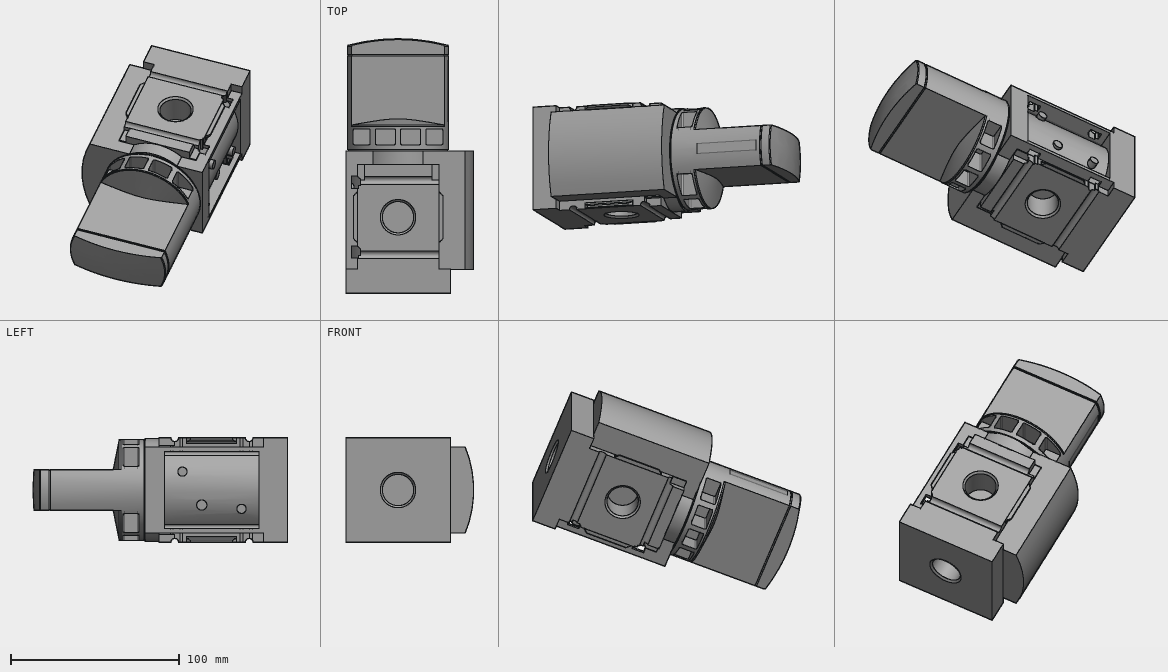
import cadquery as cq
import math


total_length = 150.9
total_width = 75.8
body_size = 62.0
half_body = body_size / 2
working_axis_x = -0.2
front_block_length = 14.3
slab_end = 76.2
slab_half_width = 24.22
housing_end = 84.4
core_half_height = 25.5
collar_height = 30.6
collar_half_chord = 15.0

cover_start = 14.0
cover_edge_x = 39.7
cover_crown_x = total_width - half_body

port_diameter = 18.5
port_mouth_diameter = 21.0
port_depth = 18.1
top_port_y = 45.1

groove_radius = 2.3
groove_positions = (22.8, 66.8)
corner_cut_start = 67.2
corner_cut_width = 4.2
corner_cut_floor = 26.3
slot_outer_x = 27.6
slot_step_x = 23.7
slot_inner_x = 22.5
slot_mouth_width = 7.2
slot_tip_width = 3.9
slot_positions = (24.5, 65.8)
slot_floor = 21.9

catch_length = 29.6
catch_tip_length = 25.0
catch_top = 30.8
catch_pad_bottom = 27.5
catch_bottom = 28.5
catch_tip_bottom = 29.7
catch_pad_thickness = 0.3
catch_reach = 2.4

window_start = 16.9
window_end = 72.9
window_half_height = 23.0
bowl_radius = 29.5
bowl_edge_height = 20.5
seam_groove_radius = (window_half_height - bowl_edge_height) / 2
pin_diameter = 5.5
pin_tip_x = -30.5
pin_positions = ((62.3, 10.9), (27.3, -11.2))
disc_diameter = 6.0
disc_position = (50.9, -8.9)
disc_face_x = -28.8

knob_diameter = 60.0
knob_radius = knob_diameter / 2
neck_length = 0.8
neck_depth = 0.6
knob_rim_y = 99.7
shoulder_y = 98.8
rim_step = 0.2
tang_half_thickness = 12.0
cone_rise = 3.6
dome_edge_y = 147.0
tang_rim_y = 146.4
dome_inset = 0.5
seam_start = 140.5
seam_width = 0.9
seam_depth = 0.3
pocket_start = 88.0
pocket_end = 97.5
pocket_floor = tang_half_thickness
pocket_spans = ((1.5, 13.5), (16.5, 26.5))
pocket_corner_radius = 0.9
panel_start = 101.5
panel_end = 138.2
panel_half_height = 9.0
panel_depth = 0.2


def box(x_range, y_range, z_range):
    """Axis-aligned box between the given limits."""
    size = [high - low for low, high in (x_range, y_range, z_range)]
    corner = (x_range[0], y_range[0], z_range[0])
    return cq.Workplane("XY").box(*size, centered=False).translate(corner)


def cylinder_along_y(radius, start, end, x=0.0, z=0.0):
    """Cylinder parallel to Y."""
    return cq.Workplane("XZ", origin=(x, start, z)).circle(radius).extrude(start - end)


def with_mirror(shape, plane):
    """The shape together with its mirror image."""
    return shape.union(shape.mirror(plane))


def make_cover():
    """Core of the housing, running out to the crowned gauge cover."""
    return (
        cq.Workplane("XZ", origin=(0, cover_start, 0))
        .moveTo(-half_body, -core_half_height)
        .lineTo(cover_edge_x, -core_half_height)
        .threePointArc((cover_crown_x, 0), (cover_edge_x, core_half_height))
        .lineTo(-half_body, core_half_height)
        .close()
        .extrude(cover_start - housing_end)
    )


def make_collar():
    """Rounded collar standing above and below the core, behind the slab."""
    return (
        cq.Workplane("XZ", origin=(working_axis_x, slab_end, 0))
        .moveTo(-collar_half_chord, core_half_height)
        .threePointArc((0, collar_height), (collar_half_chord, core_half_height))
        .lineTo(collar_half_chord, -core_half_height)
        .threePointArc((0, -collar_height), (-collar_half_chord, -core_half_height))
        .close()
        .extrude(slab_end - housing_end)
    )


def make_catches():
    """Wedge-shaped catches near the upper and lower edges of both slab sides."""
    pad_x = slab_half_width + catch_pad_thickness
    pad = box(
        (slab_half_width, pad_x),
        (top_port_y - catch_length / 2, top_port_y + catch_length / 2),
        (catch_pad_bottom, catch_top),
    )
    base_height = catch_top - catch_bottom
    tip_height = catch_top - catch_tip_bottom
    wedge = (
        cq.Workplane("YZ", origin=(pad_x, top_port_y, catch_top - base_height / 2))
        .rect(catch_length, base_height)
        .workplane(offset=catch_reach - catch_pad_thickness)
        .center(0, (base_height - tip_height) / 2)
        .rect(catch_tip_length, tip_height)
        .loft(ruled=True)
    )
    return with_mirror(with_mirror(pad.union(wedge), "YZ"), "XY")


def make_slab_cuts():
    """Cross grooves, corner cuts and side slots in the upper and lower slab faces."""
    corner = box(
        (slab_half_width - corner_cut_width, slab_half_width),
        (corner_cut_start, slab_end),
        (corner_cut_floor, half_body),
    )
    cuts = with_mirror(corner, "YZ")
    for y in groove_positions:
        groove = (
            cq.Workplane("YZ", origin=(-slab_half_width, y, half_body))
            .circle(groove_radius)
            .extrude(2 * slab_half_width)
        )
        cuts = cuts.union(groove)
    mouth = slot_mouth_width / 2
    tip = slot_tip_width / 2
    slot_outline = [
        (-slot_outer_x, -mouth),
        (-slot_step_x, -mouth),
        (-slot_step_x, -tip),
        (-slot_inner_x, -tip),
        (-slot_inner_x, tip),
        (-slab_half_width, mouth),
        (-slot_outer_x, mouth),
    ]
    for y in slot_positions:
        slot = (
            cq.Workplane("XY", origin=(0, y, slot_floor))
            .polyline(slot_outline)
            .close()
            .extrude(half_body - slot_floor)
        )
        cuts = cuts.union(slot)
    return with_mirror(cuts, "XY")


def make_port(plane, origin):
    """Blind port with a 45 degree countersunk mouth, going in against the plane's normal."""
    mouth_depth = (port_mouth_diameter - port_diameter) / 2
    bore = cq.Workplane(plane, origin=origin).circle(port_diameter / 2).extrude(-port_depth)
    mouth = (
        cq.Workplane(plane, origin=origin)
        .circle(port_mouth_diameter / 2)
        .workplane(offset=-mouth_depth)
        .circle(port_diameter / 2)
        .loft()
    )
    return bore.union(mouth)


def make_window():
    """Window pocket whose back is the convex bowl, with a round groove along each bowl edge."""
    window_back_x = -math.sqrt(bowl_radius**2 - bowl_edge_height**2)
    window = box(
        (-half_body, window_back_x),
        (window_start, window_end),
        (-window_half_height, window_half_height),
    )
    window = window.cut(cylinder_along_y(bowl_radius, window_start, window_end))
    groove_z = window_half_height - seam_groove_radius
    groove = cylinder_along_y(seam_groove_radius, window_start, window_end, window_back_x, groove_z)
    return window.union(with_mirror(groove, "XY"))


def make_stud(diameter, tip_x, position):
    """Round stud along X standing on the bowl."""
    y, z = position
    return cq.Workplane("YZ", origin=(tip_x, y, z)).circle(diameter / 2).extrude(bowl_radius / 2)


def make_knob():
    """Turning knob: pocketed ring, conical shoulder and a flat tang with a domed end."""
    ring = (
        cq.Workplane("XY")
        .moveTo(0, housing_end)
        .lineTo(knob_radius - neck_depth, housing_end)
        .lineTo(knob_radius - neck_depth, housing_end + neck_length)
        .lineTo(knob_radius, housing_end + neck_length)
        .lineTo(knob_radius, shoulder_y)
        .lineTo(knob_radius - rim_step, shoulder_y)
        .lineTo(knob_radius - rim_step, knob_rim_y)
        .lineTo(tang_half_thickness, knob_rim_y + cone_rise)
        .lineTo(0, knob_rim_y + cone_rise)
        .close()
        .revolve(360, (0, 0, 0), (0, 1, 0))
    )
    dome_rise = total_length - dome_edge_y
    dome_edge_radius = knob_radius - dome_inset
    dome_radius = (dome_edge_radius**2 + dome_rise**2) / (2 * dome_rise)
    dome_centre_y = total_length - dome_radius
    half_dome_angle = math.asin(dome_edge_radius / dome_radius) / 2
    dome_middle = (
        dome_radius * math.sin(half_dome_angle),
        dome_centre_y + dome_radius * math.cos(half_dome_angle),
    )
    seam_end = seam_start + seam_width
    grip = (
        cq.Workplane("XY")
        .moveTo(0, shoulder_y)
        .lineTo(knob_radius, shoulder_y)
        .lineTo(knob_radius, seam_start)
        .lineTo(knob_radius - seam_depth, seam_start)
        .lineTo(knob_radius - seam_depth, seam_end)
        .lineTo(knob_radius, seam_end)
        .lineTo(knob_radius, tang_rim_y)
        .lineTo(dome_edge_radius, dome_edge_y)
        .threePointArc(dome_middle, (0, total_length))
        .close()
        .revolve(360, (0, 0, 0), (0, 1, 0))
    )
    tang_depth = tang_half_thickness - seam_depth
    tang = box(
        (-knob_radius, knob_radius),
        (shoulder_y, total_length),
        (-tang_half_thickness, tang_half_thickness),
    )
    flat_seam = box(
        (-knob_radius, knob_radius),
        (seam_start, seam_end),
        (tang_depth, tang_half_thickness),
    )
    grip = grip.intersect(tang).cut(with_mirror(flat_seam, "XY"))
    panel = box(
        (knob_radius - panel_depth, knob_radius),
        (panel_start, panel_end),
        (-panel_half_height, panel_half_height),
    )
    panel = panel.cut(cylinder_along_y(knob_radius - panel_depth, panel_start, panel_end))
    knob = ring.union(grip.cut(panel))
    for inner_x, outer_x in pocket_spans:
        pocket = box((inner_x, outer_x), (pocket_start, pocket_end), (pocket_floor, knob_radius))
        pocket = pocket.edges("|Z").fillet(pocket_corner_radius)
        knob = knob.cut(with_mirror(with_mirror(pocket, "YZ"), "XY"))
    return knob.translate((working_axis_x, 0, 0))


front_block = box((-half_body, half_body), (0, front_block_length), (-half_body, half_body))
slab = box((-slab_half_width, slab_half_width), (0, slab_end), (-half_body, half_body))
housing = front_block.union(slab).union(make_cover()).union(make_collar())
housing = housing.cut(make_window()).cut(make_slab_cuts()).union(make_catches())

upper_port = make_port("XY", (working_axis_x, top_port_y, half_body))
housing = housing.cut(make_port("XZ", (working_axis_x, 0, 0)))
housing = housing.cut(with_mirror(upper_port, "XY"))

for pin_position in pin_positions:
    housing = housing.union(make_stud(pin_diameter, pin_tip_x, pin_position))
housing = housing.union(make_stud(disc_diameter, disc_face_x, disc_position))

result = housing.union(make_knob())